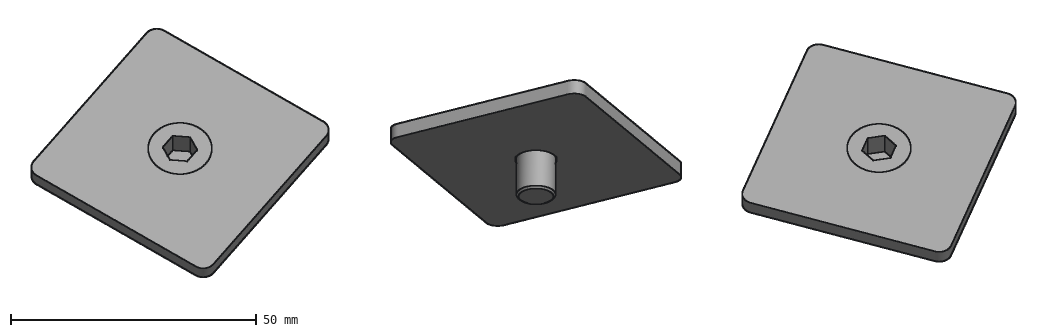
import cadquery as cq
import math

plate_side = 45.0
plate_thickness = 3.1
corner_radius = 2.6
total_height = 11.5

head_diameter = 13.0
head_height = 2.0
shank_diameter = 8.0
tip_chamfer = 0.45
socket_across_flats = 6.1
socket_depth = 5.0

clearance_diameter = 8.5

plate_top = total_height
plate_bottom = plate_top - plate_thickness
head_bottom = plate_top - head_height


def cylinder(diameter, bottom, top):
    """Upright cylinder on the Z axis between two heights."""
    return (
        cq.Workplane("XY")
        .workplane(offset=bottom)
        .circle(diameter / 2)
        .extrude(top - bottom)
    )


def hex_socket():
    """Hexagonal drive recess with two corners on the Y axis."""
    across_corners = socket_across_flats / math.cos(math.radians(30))
    return (
        cq.Workplane("XY")
        .workplane(offset=plate_top - socket_depth)
        .transformed(rotate=(0, 0, 90))
        .polygon(6, across_corners)
        .extrude(socket_depth)
    )


def make_plate():
    """Rounded square plate with a counterbored clearance hole."""
    blank = (
        cq.Workplane("XY")
        .workplane(offset=plate_bottom)
        .rect(plate_side, plate_side)
        .extrude(plate_thickness)
        .edges("|Z")
        .fillet(corner_radius)
    )
    counterbore = cylinder(head_diameter, head_bottom, plate_top)
    clearance_hole = cylinder(clearance_diameter, plate_bottom, head_bottom)
    return blank.cut(counterbore).cut(clearance_hole)


def make_screw():
    """Socket head screw whose head fills the counterbore."""
    shank = cylinder(shank_diameter, 0, head_bottom).faces("<Z").chamfer(tip_chamfer)
    head = cylinder(head_diameter, head_bottom, plate_top)
    return shank.union(head).cut(hex_socket())


plate = make_plate()
screw = make_screw()
result = cq.Compound.makeCompound([plate.solids().val(), screw.solids().val()])